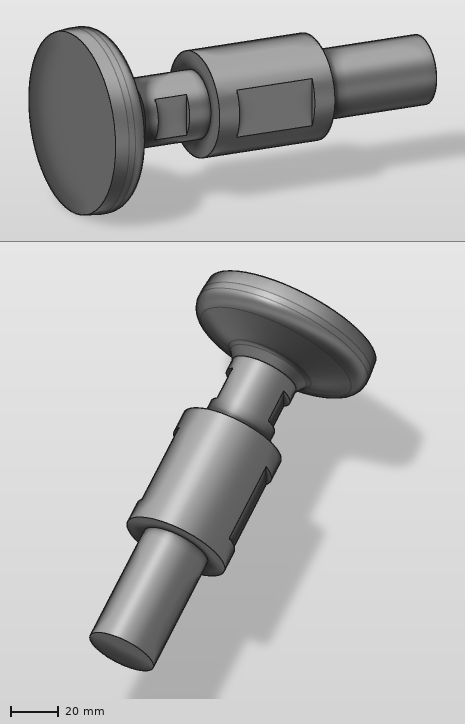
import cadquery as cq
import math

TOTAL_LENGTH = 166.5
SHAFT_RADIUS = 15.0

FOOT_RADIUS = 40.0
SOLE_RADIUS = 39.3
BAND_START = 6.2
BAND_END = 9.2
SHOULDER_ROUND = 7.2
CONE_ANGLE = 21.0
CONE_TOP_RADIUS = 19.3
BLEND_RADIUS = 3.3
NECK_ANGLE = 55.0

SHAFT_FLAT_START = 33.3
SHAFT_FLAT_LENGTH = 15.0
SHAFT_ACROSS_FLATS = 24.0

SLEEVE_START = 58.5
SLEEVE_LENGTH = 55.1
SLEEVE_RADIUS = 23.0
SLEEVE_FLAT_LENGTH = 36.0
SLEEVE_ACROSS_FLATS = 41.0
SLEEVE_FLAT_START = SLEEVE_START + (SLEEVE_LENGTH - SLEEVE_FLAT_LENGTH) / 2


def cylinder_along_y(radius, start, length):
    """Solid cylinder on the Y axis, growing toward +Y from start."""
    return cq.Workplane("XZ", origin=(0, start, 0)).circle(radius).extrude(-length)


def cut_flats(body, radius, across_flats, start, length):
    """Cut two opposite flats facing -X and +X into a round body."""
    depth = radius - across_flats / 2
    for side in (-1, 1):
        cutter = cq.Workplane("XY").box(depth, length, 2 * radius).translate(
            (side * (radius - depth / 2), start + length / 2, 0)
        )
        body = body.cut(cutter)
    return body


def shoulder_point(angle):
    """Point (radius, Y) on the shoulder round, at an angle in degrees from the radial direction."""
    return (
        FOOT_RADIUS - SHOULDER_ROUND * (1 - math.cos(math.radians(angle))),
        BAND_END + SHOULDER_ROUND * math.sin(math.radians(angle)),
    )


def blend_point(cone_end, angle):
    """Point (radius, Y) on the hollow blend where its surface leans at an angle in degrees to the sole."""
    lean = math.radians(angle)
    cone_lean = math.radians(CONE_ANGLE)
    return (
        cone_end[0] - BLEND_RADIUS * (math.sin(lean) - math.sin(cone_lean)),
        cone_end[1] + BLEND_RADIUS * (math.cos(cone_lean) - math.cos(lean)),
    )


def make_spindle():
    """Foot and shaft turned as one piece, with two wrench flats on the shaft."""
    shoulder_sweep = 90 - CONE_ANGLE
    cone_start = shoulder_point(shoulder_sweep)
    cone_rise = (cone_start[0] - CONE_TOP_RADIUS) * math.tan(math.radians(CONE_ANGLE))
    cone_end = (CONE_TOP_RADIUS, cone_start[1] + cone_rise)
    blend_middle = blend_point(cone_end, (CONE_ANGLE + NECK_ANGLE) / 2)
    neck_start = blend_point(cone_end, NECK_ANGLE)
    neck_rise = (neck_start[0] - SHAFT_RADIUS) * math.tan(math.radians(NECK_ANGLE))
    spindle = (
        cq.Workplane("XY")
        .lineTo(SOLE_RADIUS, 0)
        .lineTo(FOOT_RADIUS, BAND_START)
        .lineTo(FOOT_RADIUS, BAND_END)
        .threePointArc(shoulder_point(shoulder_sweep / 2), cone_start)
        .lineTo(*cone_end)
        .threePointArc(blend_middle, neck_start)
        .lineTo(SHAFT_RADIUS, neck_start[1] + neck_rise)
        .lineTo(SHAFT_RADIUS, TOTAL_LENGTH)
        .lineTo(0, TOTAL_LENGTH)
        .close()
        .revolve(360, (0, 0, 0), (0, 1, 0))
    )
    return cut_flats(spindle, SHAFT_RADIUS, SHAFT_ACROSS_FLATS, SHAFT_FLAT_START, SHAFT_FLAT_LENGTH)


def make_sleeve():
    """Sleeve bored to the shaft diameter, with two wrench flats."""
    sleeve = cylinder_along_y(SLEEVE_RADIUS, SLEEVE_START, SLEEVE_LENGTH)
    sleeve = sleeve.cut(cylinder_along_y(SHAFT_RADIUS, SLEEVE_START, SLEEVE_LENGTH))
    return cut_flats(sleeve, SLEEVE_RADIUS, SLEEVE_ACROSS_FLATS, SLEEVE_FLAT_START, SLEEVE_FLAT_LENGTH)


spindle = make_spindle()
sleeve = make_sleeve()
result = cq.Compound.makeCompound([spindle.solids().val(), sleeve.solids().val()])